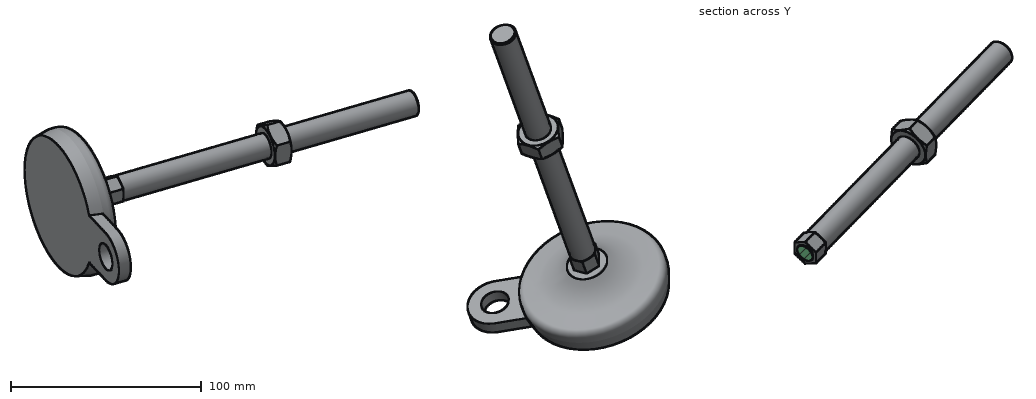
import cadquery as cq
import math

total_length = 210.0

plate_radius = 80.0 / 2
sole_radius = 38.2
band_bottom = 7.5
band_top = 11.1
shoulder_round = 3.8
crown_radius = 11.0
crown_height = 25.0

overall_width = 109.0
lug_radius = 15.0
lug_thickness = 7.1
lug_hole_diameter = 15.0
lug_center = overall_width - plate_radius - lug_radius

neck_diameter = 10.0
hex_bottom = 25.8
hex_height = 9.2
hex_across_flats = 13.6
shaft_diameter = 14.0
shaft_chamfer = 0.6

nut_bottom = 122.5
nut_height = 10.0
nut_across_flats = 22.0
nut_face_diameter = 21.5
nut_chamfer_angle = 30


def plane_at(height):
    """Plane across the spindle axis, facing +Y, with its local x along Z."""
    return cq.Workplane(cq.Plane(origin=(0, height, 0), xDir=(0, 0, 1), normal=(0, 1, 0)))


def corner_diameter(across_flats):
    return across_flats / math.cos(math.pi / 6)


def hexagon(bottom, height, across_flats):
    """Hexagonal prism with its corners pointing along +Z and -Z."""
    return plane_at(bottom).polygon(6, corner_diameter(across_flats)).extrude(height)


def foot_plate():
    """Round plate with a tapered rim and a concave flare up to the crown."""
    shoulder_top = (plate_radius - shoulder_round, band_top + shoulder_round)
    return (
        cq.Workplane("XY")
        .lineTo(sole_radius, 0)
        .lineTo(plate_radius, band_bottom)
        .lineTo(plate_radius, band_top)
        .tangentArcPoint(shoulder_top, relative=False)
        .tangentArcPoint((crown_radius, crown_height), relative=False)
        .lineTo(0, crown_height)
        .close()
        .revolve(360, (0, 0, 0), (0, 1, 0))
    )


def lug():
    """Flat lug along +X with a rounded end."""
    web = cq.Workplane("XY").box(lug_center, lug_thickness, 2 * lug_radius, centered=(False, False, True))
    rounded_end = plane_at(0).center(0, lug_center).circle(lug_radius).extrude(lug_thickness)
    return web.union(rounded_end)


def lug_hole():
    return plane_at(0).center(0, lug_center).circle(lug_hole_diameter / 2).extrude(lug_thickness)


def spindle():
    """Neck, wrench hexagon and plain shaft with a chamfered end."""
    neck = plane_at(crown_height).circle(neck_diameter / 2).extrude(hex_bottom - crown_height)
    wrench_hex = hexagon(hex_bottom, hex_height, hex_across_flats)
    shaft_bottom = hex_bottom + hex_height
    shaft = plane_at(shaft_bottom).circle(shaft_diameter / 2).extrude(total_length - shaft_bottom)
    shaft = shaft.faces(">Y").chamfer(shaft_chamfer)
    return neck.union(wrench_hex).union(shaft)


def lock_nut():
    """Hexagon nut with conical chamfers on both faces."""
    corner_radius = corner_diameter(nut_across_flats) / 2
    face_radius = nut_face_diameter / 2
    drop = (corner_radius - face_radius) * math.tan(math.radians(nut_chamfer_angle))
    nut_top = nut_bottom + nut_height
    chamfer_envelope = (
        cq.Workplane("XY")
        .moveTo(0, nut_bottom)
        .lineTo(face_radius, nut_bottom)
        .lineTo(corner_radius, nut_bottom + drop)
        .lineTo(corner_radius, nut_top - drop)
        .lineTo(face_radius, nut_top)
        .lineTo(0, nut_top)
        .close()
        .revolve(360, (0, 0, 0), (0, 1, 0))
    )
    return hexagon(nut_bottom, nut_height, nut_across_flats).intersect(chamfer_envelope)


result = foot_plate().union(lug()).cut(lug_hole()).union(spindle()).union(lock_nut())